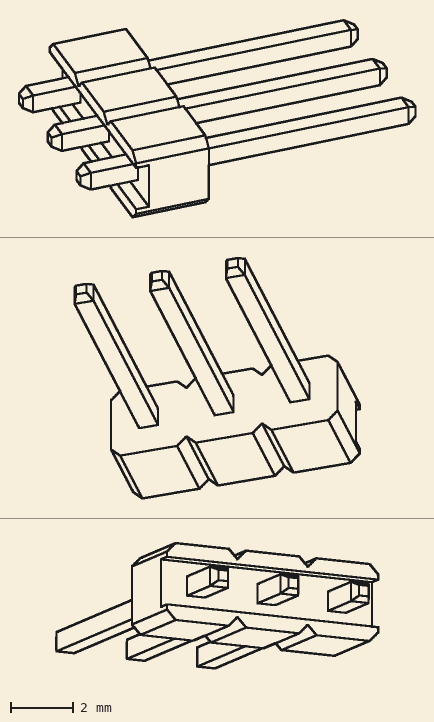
import cadquery as cq

pin_count = 3
pitch = 2.54
body_height = 2.54
body_depth = 2.52
corner_chamfer = 0.31
slot_height = 1.57
slot_depth = 0.44
pin_width = 0.64
pin_length = 11.6
pin_front_length = 1.5
tip_width = 0.35
tip_length = 0.3

body_width = pin_count * pitch
pin_centers = [(i - (pin_count - 1) / 2) * pitch for i in range(pin_count)]
pin_start = -pin_front_length
pin_end = pin_start + pin_length


def make_segment(x):
    """One housing block with its four edges along Y chamfered."""
    block = cq.Workplane("XY").box(pitch, body_depth, body_height, centered=(True, False, True))
    return block.edges("|Y").chamfer(corner_chamfer).translate((x, 0, 0))


def make_body():
    """Row of housing blocks with a slot across the front face."""
    body = make_segment(pin_centers[0])
    for x in pin_centers[1:]:
        body = body.union(make_segment(x))
    slot = cq.Workplane("XY").box(body_width, slot_depth, slot_height, centered=(True, False, True))
    return body.cut(slot)


def make_tip(x, base_y, tip_y):
    """Square taper from the full pin section to its blunt end."""
    direction = 1 if tip_y > base_y else -1
    base = cq.Plane(origin=(x, base_y, 0), xDir=(1, 0, 0), normal=(0, direction, 0))
    return (
        cq.Workplane(base)
        .rect(pin_width, pin_width)
        .workplane(offset=tip_length)
        .rect(tip_width, tip_width)
        .loft(ruled=True)
    )


def make_pin(x):
    """Square pin tapered at both ends."""
    shaft_start = pin_start + tip_length
    shaft_end = pin_end - tip_length
    shaft = (
        cq.Workplane("XY")
        .box(pin_width, shaft_end - shaft_start, pin_width, centered=(True, False, True))
        .translate((x, shaft_start, 0))
    )
    return shaft.union(make_tip(x, shaft_start, pin_start)).union(make_tip(x, shaft_end, pin_end))


result = make_body()
for pin_x in pin_centers:
    result = result.union(make_pin(pin_x))